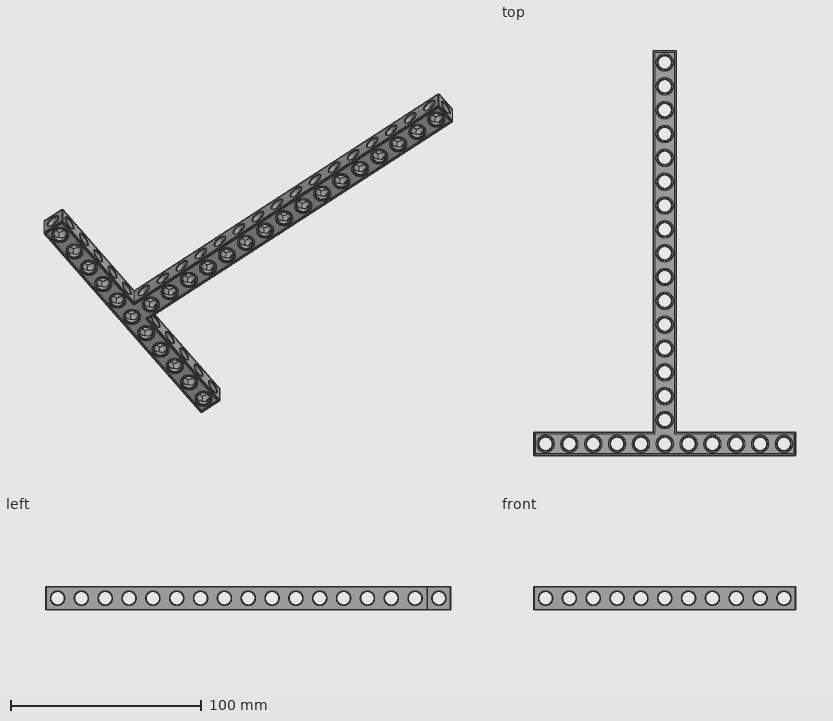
import cadquery as cq

length = 212.5
stem_cells = 17
bar_cells = 11
pitch = length / stem_cells
bar_length = bar_cells * pitch

hole_diameter = 7.0
rim_diameter = 7.6
rim_depth = (rim_diameter - hole_diameter) / 2
edge_chamfer = 0.32

ring_diameter = 9.1
border_width = 1.0
recess_depth = 0.2

bar_y = pitch / 2
bar_xs = [(i - (bar_cells - 1) / 2) * pitch for i in range(bar_cells)]
stem_ys = [bar_y + i * pitch for i in range(1, stem_cells)]
cell_centers = [(x, bar_y) for x in bar_xs] + [(0, y) for y in stem_ys]


def tee(inset, height):
    """T-shaped prism standing on the XY plane, its outline moved inwards by inset."""
    bar = (
        cq.Workplane("XY")
        .center(0, bar_y)
        .rect(bar_length - 2 * inset, pitch - 2 * inset)
        .extrude(height)
    )
    stem = (
        cq.Workplane("XY")
        .center(0, length / 2)
        .rect(pitch - 2 * inset, length - 2 * inset)
        .extrude(height)
    )
    return bar.union(stem).clean()


def chamfered_beam():
    """Beam centred on Z = 0, with chamfered outer corners and face outlines."""
    beam = tee(0, pitch).translate((0, 0, -pitch / 2))
    beam = beam.edges("|Z").edges("<X or >X or <Y or >Y").chamfer(edge_chamfer)
    return beam.faces("|Z").edges().chamfer(edge_chamfer)


def top_recess():
    """Shallow pocket inside the border that leaves a raised ring around each vertical hole."""
    rings = (
        cq.Workplane("XY")
        .pushPoints(cell_centers)
        .circle(ring_diameter / 2)
        .extrude(recess_depth)
    )
    pocket = tee(border_width, recess_depth).cut(rings)
    return pocket.translate((0, 0, pitch / 2 - recess_depth))


def hole_cutter(start, end):
    """Round through hole from start to end, with a conical rim at both mouths."""
    first = cq.Vector(*start)
    last = cq.Vector(*end)
    axis = last - first
    bore = cq.Solid.makeCylinder(hole_diameter / 2, axis.Length, first, axis)
    cutter = cq.Workplane(bore)
    for mouth, inward in ((first, axis), (last, -axis)):
        rim = cq.Solid.makeCone(rim_diameter / 2, hole_diameter / 2, rim_depth, mouth, inward)
        cutter = cutter.union(cq.Workplane(rim))
    return cutter


result = chamfered_beam()

recess = top_recess()
result = result.cut(recess).cut(recess.mirror("XY"))

for x, y in cell_centers:
    result = result.cut(hole_cutter((x, y, -pitch / 2), (x, y, pitch / 2)))

for x in bar_xs:
    far_y = length if x == 0 else pitch
    result = result.cut(hole_cutter((x, 0, 0), (x, far_y, 0)))

result = result.cut(hole_cutter((-bar_length / 2, bar_y, 0), (bar_length / 2, bar_y, 0)))
for y in stem_ys:
    result = result.cut(hole_cutter((-pitch / 2, y, 0), (pitch / 2, y, 0)))